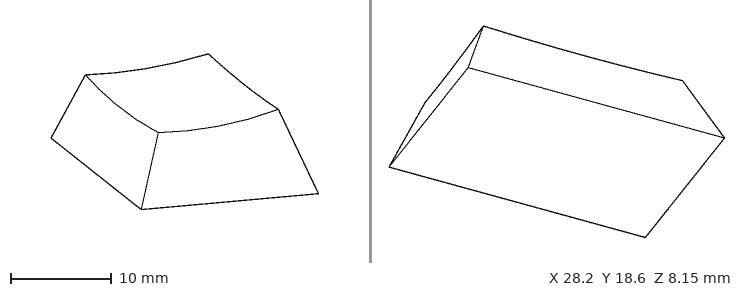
import cadquery as cq
import math

base_length = 28.15
base_width = 18.6
wall_taper = 21.1
top_height = 8.15

dish_radius_front_back = 42.22
dish_radius_left_right = 152.0
dish_low_y = -4.1

blank_height = top_height + 0.55
dish_half_width = base_width / 2

wall_inset = top_height * math.tan(math.radians(wall_taper))
corner_x = base_length / 2 - wall_inset
corner_y = base_width / 2 - wall_inset


def rise_of_arc(radius, distance):
    """Height of a circular arc above its lowest point, at a sideways distance from it."""
    return radius - math.sqrt(radius**2 - distance**2)


back_rise = rise_of_arc(dish_radius_front_back, corner_y - dish_low_y)
side_rise = rise_of_arc(dish_radius_left_right - back_rise, corner_x)
dish_low_z = top_height - back_rise - side_rise


def make_blank():
    """Rectangular block whose four walls lean inwards."""
    return (
        cq.Workplane("XY")
        .rect(base_length, base_width)
        .extrude(blank_height, taper=wall_taper)
    )


def make_dish():
    """Ring whose outer face is the dish; it turns about an axis parallel to Y, high above the cap."""

    def arc_point(y):
        return (y, dish_low_z + rise_of_arc(dish_radius_front_back, y - dish_low_y))

    ring_inner_z = 2 * top_height
    axis_z = dish_low_z + dish_radius_left_right
    return (
        cq.Workplane("YZ")
        .moveTo(-dish_half_width, ring_inner_z)
        .lineTo(*arc_point(-dish_half_width))
        .threePointArc((dish_low_y, dish_low_z), arc_point(dish_half_width))
        .lineTo(dish_half_width, ring_inner_z)
        .close()
        .revolve(360, (0, axis_z), (1, axis_z))
    )


keycap = make_blank().cut(make_dish())

result = cq.Compound.makeCompound([keycap.solids().val()])